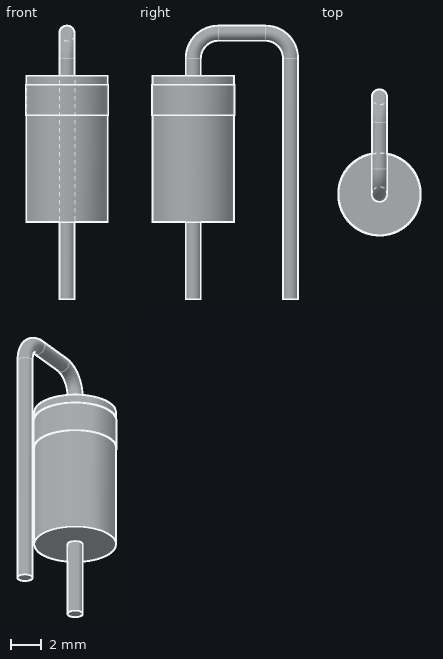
import cadquery as cq
import math

total_height = 17.75
lead_diameter = 1.0
lead_spacing = 6.3
bend_radius = 1.63

body_diameter = 5.3
body_bottom = 5.0
body_length = 9.5
body_top = body_bottom + body_length

band_diameter = 5.38
band_height = 1.99
band_top_gap = 0.59
band_bottom = body_top - band_top_gap - band_height

lead_radius = lead_diameter / 2
bridge_height = total_height - lead_radius
bend_start = bridge_height - bend_radius


def make_body():
    return cq.Workplane("XY").workplane(offset=body_bottom).circle(body_diameter / 2).extrude(body_length)


def make_band():
    """Thin marking sleeve fitted around the body."""
    return (
        cq.Workplane("XY")
        .workplane(offset=band_bottom)
        .circle(band_diameter / 2)
        .circle(body_diameter / 2)
        .extrude(band_height)
    )


def make_straight_lead():
    """Lead leaving the bottom face of the body."""
    return cq.Workplane("XY").circle(lead_radius).extrude(body_bottom)


def make_bent_lead():
    """Lead leaving the top face, bent over twice and running down beside the body."""
    bend_mid = bend_radius * (1 - math.cos(math.radians(45)))
    path = (
        cq.Workplane("YZ")
        .moveTo(0, body_top)
        .lineTo(0, bend_start)
        .threePointArc((bend_mid, bridge_height - bend_mid), (bend_radius, bridge_height))
        .lineTo(lead_spacing - bend_radius, bridge_height)
        .threePointArc(
            (lead_spacing - bend_mid, bridge_height - bend_mid),
            (lead_spacing, bend_start),
        )
        .lineTo(lead_spacing, 0)
    )
    return cq.Workplane("XY").workplane(offset=body_top).circle(lead_radius).sweep(path)


body = make_body()
band = make_band()
straight_lead = make_straight_lead()
bent_lead = make_bent_lead()

result = cq.Compound.makeCompound([body.val(), band.val(), straight_lead.val(), bent_lead.val()])